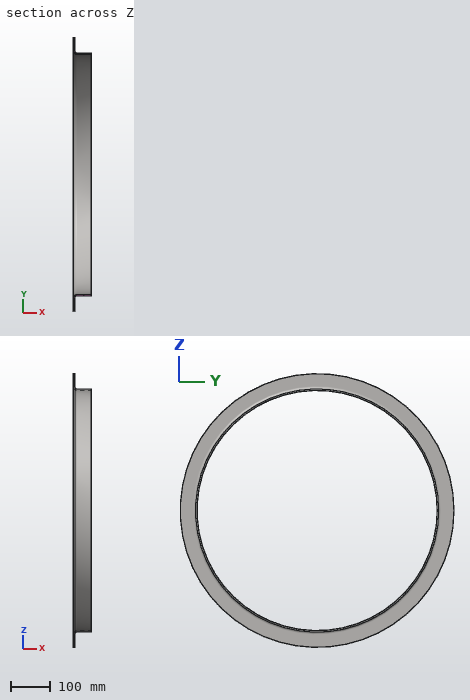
import cadquery as cq

flange_diameter = 685.0
pipe_outer_diameter = 608.0
pipe_inner_diameter = 600.0
collar_length = 45.0
mouth_radius = 10.0

wall = (pipe_outer_diameter - pipe_inner_diameter) / 2
corner_radius = mouth_radius - wall
flange_radius = flange_diameter / 2
pipe_outer_radius = pipe_outer_diameter / 2
pipe_inner_radius = pipe_inner_diameter / 2
bend_end_radius = pipe_inner_radius + mouth_radius

section = (
    cq.Workplane("XY")
    .moveTo(0, bend_end_radius)
    .lineTo(0, flange_radius)
    .lineTo(wall, flange_radius)
    .lineTo(wall, bend_end_radius)
    .radiusArc((mouth_radius, pipe_outer_radius), -corner_radius)
    .lineTo(collar_length, pipe_outer_radius)
    .lineTo(collar_length, pipe_inner_radius)
    .lineTo(mouth_radius, pipe_inner_radius)
    .radiusArc((0, bend_end_radius), mouth_radius)
    .close()
)

result = section.revolve(360, (0, 0, 0), (1, 0, 0))